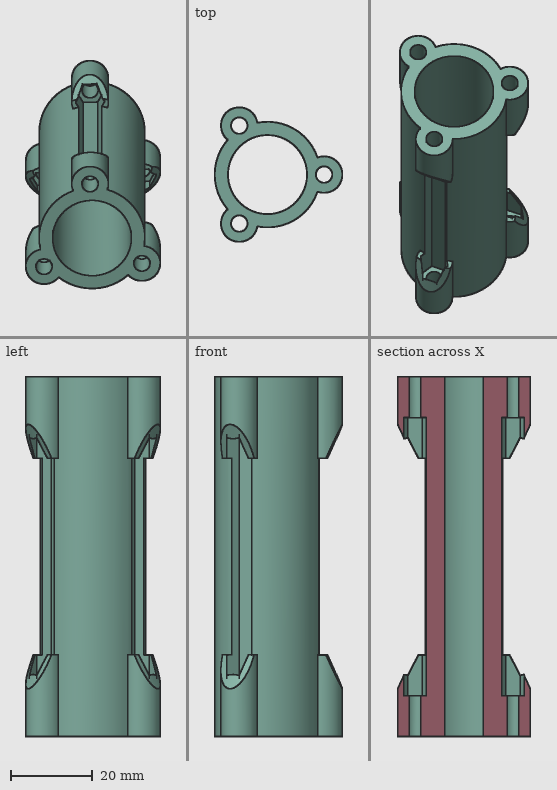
import cadquery as cq
import math

LENGTH = 88.0
TUBE_RADIUS = 12.9
BORE_DIAMETER = 19.3

BOSS_COUNT = 3
BOSS_RADIUS = 4.5
BOSS_CIRCLE_RADIUS = 13.8
BOSS_LENGTH = 20.0
SCREW_HOLE_DIAMETER = 4.0

TAPER_START = 11.7
TAPER_END_RADIUS = 15.0
BOSS_REACH = BOSS_CIRCLE_RADIUS + BOSS_RADIUS

NUT_ACROSS_FLATS = 6.2
NUT_ACROSS_CORNERS = NUT_ACROSS_FLATS / math.cos(math.pi / 6)
NUT_SEAT_DEPTH = 10.0


def boss_centres(plane_z):
    return cq.Workplane("XY", origin=(0, 0, plane_z)).polarArray(
        BOSS_CIRCLE_RADIUS, 0, 360, BOSS_COUNT
    )


def lower_bosses():
    """Three bosses trimmed by a cone that narrows toward mid-length."""
    envelope = (
        cq.Workplane("XZ")
        .moveTo(0, 0)
        .lineTo(BOSS_REACH, 0)
        .lineTo(BOSS_REACH, TAPER_START)
        .lineTo(TAPER_END_RADIUS, BOSS_LENGTH)
        .lineTo(0, BOSS_LENGTH)
        .close()
        .revolve(360, (0, 0), (0, 1))
    )
    return boss_centres(0).circle(BOSS_RADIUS).extrude(BOSS_LENGTH).intersect(envelope)


def hexagon(location):
    """Hexagonal outline turned so that one flat is square to the tube radius."""
    flat_outward = cq.Location(cq.Vector(0, 0, 0), cq.Vector(0, 0, 1), 30)
    outline = cq.Workplane("XY").polygon(6, NUT_ACROSS_CORNERS).val()
    return outline.moved(location * flat_outward)


def nut_channels():
    """Hexagonal prisms running between the nut seats at the two ends."""
    channel_length = LENGTH - 2 * NUT_SEAT_DEPTH
    return boss_centres(NUT_SEAT_DEPTH).eachpoint(hexagon).extrude(channel_length)


tube = cq.Workplane("XY").circle(TUBE_RADIUS).extrude(LENGTH)
bosses = lower_bosses()
upper_bosses = bosses.mirror("XY", (0, 0, LENGTH / 2))
bore = cq.Workplane("XY").circle(BORE_DIAMETER / 2).extrude(LENGTH)
screw_holes = boss_centres(0).circle(SCREW_HOLE_DIAMETER / 2).extrude(LENGTH)

result = tube.union(bosses).union(upper_bosses).cut(bore).cut(screw_holes).cut(nut_channels())